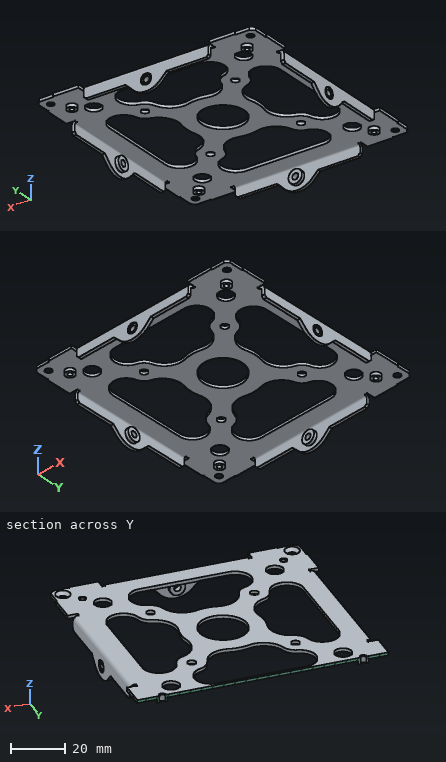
import cadquery as cq
import math

plate_size = 100.0
half = plate_size / 2
thickness = 1.5
corner_half = 49.6
corner_start = 41.5
corner_chamfer = 1.7
bore_radius = 9.5

flange_half_length = 28.5
flange_outer = 48.5
flange_height = 6.0
flange_chamfer = 1.0
bend_radius = 2.2
inner_bend_radius = bend_radius - thickness
relief_end = 29.75
relief_floor = 46.0
ear_radius = 9.2
ear_bottom = 11.61

boss_diameter = 6.2
boss_length = 1.5
boss_depth = 6.5
boss_bore = 2.7
recess_outer = 4.8
recess_inner = 4.2
recess_depth = (recess_outer - recess_inner) / 2

window_outer = 39.0
window_end_x = 24.2
window_end_radius = 6.5
web_hole_offset = 20.65
web_pad_radius = 5.75
hub_radius = 16.5
blend_radius = 9.0

web_hole_diameter = 3.3
large_hole_offset = 34.2
large_hole_diameter = 6.7
screw_offset = 45.6
screw_diameter = 2.9
screw_head_diameter = 5.8
screw_sink_depth = 1.4

insert_offset = 40.0
insert_across_flats = 4.8
insert_boss_diameter = 4.3
insert_boss_length = 1.5
insert_bore = 2.1
insert_mouth = 2.8
insert_mouth_depth = (insert_mouth - insert_bore) / 2

TOP = 0.0
BOTTOM = -thickness
DIAGONALS = [(sx, sy) for sx in (1, -1) for sy in (1, -1)]
SIDES = [0, 90, 180, 270]


def on_diagonals(offset):
    return [(sx * offset, sy * offset) for sx, sy in DIAGONALS]


def around(body, angle):
    return body.rotate((0, 0, 0), (0, 0, 1), angle)


def cone(diameter, end_diameter, depth):
    """Frustum with its wide end on z = 0, narrowing downwards."""
    profile = [(0, 0), (diameter / 2, 0), (end_diameter / 2, -depth), (0, -depth)]
    return cq.Workplane("XZ").polyline(profile).close().revolve(360, (0, 0, 0), (0, 1, 0))


def point_toward(start, end, distance):
    span = math.dist(start, end)
    return tuple(a + (b - a) * distance / span for a, b in zip(start, end))


def arc_middle(center, start, end):
    """Middle of the shorter arc from start to end about center."""
    chord_middle = tuple((a + b) / 2 for a, b in zip(start, end))
    return point_toward(center, chord_middle, math.dist(center, start))


def circles_meet(center_a, radius_a, center_b, radius_b):
    """Intersection lying on the left when walking from center_a to center_b."""
    span = math.dist(center_a, center_b)
    ux = (center_b[0] - center_a[0]) / span
    uy = (center_b[1] - center_a[1]) / span
    along = (radius_a**2 - radius_b**2 + span**2) / (2 * span)
    across = math.sqrt(radius_a**2 - along**2)
    return (center_a[0] + along * ux - across * uy, center_a[1] + along * uy + across * ux)


def make_window():
    """Window on the +Y side, bounded by tangent arcs around pads and hub."""
    hub = (0, 0)
    pad = (web_hole_offset, web_hole_offset)
    straight_end = window_end_x - window_end_radius
    end_y = window_outer - window_end_radius
    end = (straight_end, end_y)
    blend = circles_meet(hub, hub_radius + blend_radius, pad, web_pad_radius + blend_radius)
    end_pad = point_toward(end, pad, window_end_radius)
    pad_blend = point_toward(blend, pad, blend_radius)
    blend_hub = point_toward(blend, hub, blend_radius)
    end_middle = (window_end_x, end_y)
    pad_middle = arc_middle(pad, end_pad, pad_blend)
    blend_middle = arc_middle(blend, pad_blend, blend_hub)

    def mirrored(p):
        return (-p[0], p[1])

    return (
        cq.Workplane("XY", origin=(0, 0, BOTTOM))
        .moveTo(-straight_end, window_outer)
        .lineTo(straight_end, window_outer)
        .threePointArc(end_middle, end_pad)
        .threePointArc(pad_middle, pad_blend)
        .threePointArc(blend_middle, blend_hub)
        .threePointArc((0, hub_radius), mirrored(blend_hub))
        .threePointArc(mirrored(blend_middle), mirrored(pad_blend))
        .threePointArc(mirrored(pad_middle), mirrored(end_pad))
        .threePointArc(mirrored(end_middle), (-straight_end, window_outer))
        .close()
        .extrude(thickness)
    )


def make_plate():
    """Flat sheet: set-back chamfered corners, edges cut back for the bends."""
    sheet = cq.Workplane("XY", origin=(0, 0, BOTTOM))
    corners = sheet.rect(2 * corner_half, 2 * corner_half).extrude(thickness)
    plate = corners.edges("|Z").chamfer(corner_chamfer)
    plate = plate.union(sheet.rect(plate_size, 2 * corner_start).extrude(thickness))
    plate = plate.union(sheet.rect(2 * corner_start, plate_size).extrude(thickness))
    relief_width = half - relief_floor
    root_width = flange_outer - bend_radius - relief_floor
    for angle in SIDES:
        relief = (
            sheet.center(0, half - relief_width / 2)
            .rect(2 * relief_end, relief_width)
            .extrude(thickness)
        )
        bend_root = (
            sheet.center(0, relief_floor + root_width / 2)
            .rect(2 * flange_half_length, root_width)
            .extrude(thickness)
        )
        plate = plate.cut(around(relief, angle)).union(around(bend_root, angle))
        plate = plate.cut(around(make_window(), angle))
    return plate


def make_flange():
    """Downward flange on the +Y side with its bend, ear and threaded boss."""
    bend_y = flange_outer - bend_radius
    inner_face = flange_outer - thickness
    diagonal = math.cos(math.radians(45))
    section = (
        cq.Workplane("YZ", origin=(-flange_half_length, 0, 0))
        .moveTo(bend_y, TOP)
        .threePointArc(
            (bend_y + bend_radius * diagonal, -bend_radius + bend_radius * diagonal),
            (flange_outer, -bend_radius),
        )
        .lineTo(flange_outer, -ear_bottom)
        .lineTo(inner_face, -ear_bottom)
        .lineTo(inner_face, -bend_radius)
        .threePointArc(
            (bend_y + inner_bend_radius * diagonal, -bend_radius + inner_bend_radius * diagonal),
            (bend_y, BOTTOM),
        )
        .close()
        .extrude(2 * flange_half_length)
    )
    ear_center_z = ear_radius - ear_bottom
    ear_x = ear_radius * diagonal
    ear_z = ear_center_z - ear_radius * diagonal
    ear_foot_x = ear_x - ear_z - flange_height
    outline = (
        cq.Workplane("XZ", origin=(0, half, 0))
        .moveTo(-flange_half_length, TOP)
        .lineTo(flange_half_length, TOP)
        .lineTo(flange_half_length, flange_chamfer - flange_height)
        .lineTo(flange_half_length - flange_chamfer, -flange_height)
        .lineTo(ear_foot_x, -flange_height)
        .lineTo(ear_x, ear_z)
        .threePointArc((0, -ear_bottom), (-ear_x, ear_z))
        .lineTo(-ear_foot_x, -flange_height)
        .lineTo(flange_chamfer - flange_half_length, -flange_height)
        .lineTo(-flange_half_length, flange_chamfer - flange_height)
        .close()
        .extrude(half)
    )
    boss_start = cq.Workplane("XZ", origin=(0, inner_face, -boss_depth))
    boss = boss_start.circle(boss_diameter / 2).extrude(boss_length)
    bore = (
        cq.Workplane("XZ", origin=(0, flange_outer, -boss_depth))
        .circle(boss_bore / 2)
        .extrude(thickness + boss_length)
    )
    recess = (
        cone(recess_outer, recess_inner, recess_depth)
        .rotate((0, 0, 0), (1, 0, 0), -90)
        .translate((0, flange_outer, -boss_depth))
    )
    return section.intersect(outline).union(boss).cut(bore).cut(recess)


def cut_holes(body):
    sheet = cq.Workplane("XY", origin=(0, 0, BOTTOM))
    body = body.cut(sheet.circle(bore_radius).extrude(thickness))
    round_holes = [
        (web_hole_offset, web_hole_diameter),
        (large_hole_offset, large_hole_diameter),
        (screw_offset, screw_diameter),
    ]
    for offset, diameter in round_holes:
        holes = sheet.pushPoints(on_diagonals(offset)).circle(diameter / 2).extrude(thickness)
        body = body.cut(holes)
    countersink = cone(screw_head_diameter, screw_diameter, screw_sink_depth)
    for x, y in on_diagonals(screw_offset):
        body = body.cut(countersink.translate((x, y, TOP)))
    return body


def make_hexagon():
    """Hexagonal head of the insert, as thick as the plate, at the origin."""
    across_corners = insert_across_flats / math.cos(math.pi / 6)
    return cq.Workplane("XY", origin=(0, 0, BOTTOM)).polygon(6, across_corners).extrude(thickness)


def make_insert():
    """Insert at the origin: hexagon flush in the plate, round boss below it."""
    length = thickness + insert_boss_length
    base = cq.Workplane("XY", origin=(0, 0, -length))
    boss = base.circle(insert_boss_diameter / 2).extrude(insert_boss_length)
    bore = base.circle(insert_bore / 2).extrude(length)
    mouth = cone(insert_mouth, insert_bore, insert_mouth_depth)
    return make_hexagon().union(boss).cut(bore).cut(mouth)


def add_inserts(body):
    """Press in the inserts, keeping each hexagon as its own flush face."""
    seat = make_hexagon()
    insert = make_insert()
    for x, y in on_diagonals(insert_offset):
        body = body.cut(seat.translate((x, y, 0)), clean=False)
        body = body.union(insert.translate((x, y, 0)), clean=False)
    return body


body = make_plate()
for side in SIDES:
    body = body.union(around(make_flange(), side))
result = add_inserts(cut_holes(body))